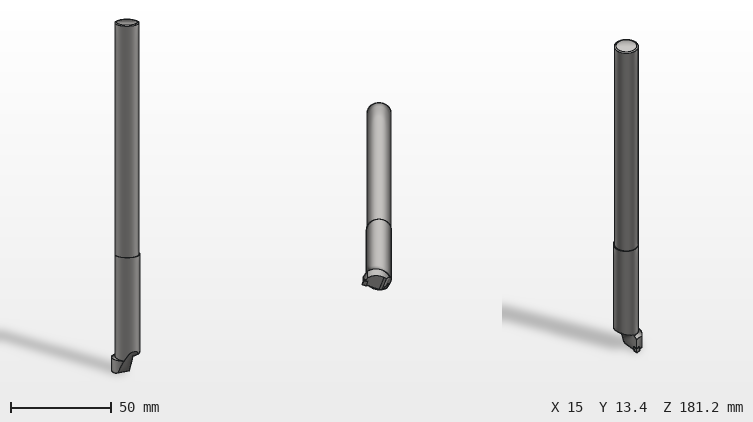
import cadquery as cq
import math

total_length = 181.2

shank_diameter = 12.0
shank_end_diameter = 10.3
shank_chamfer_height = 0.4

neck_diameter = 12.5
neck_top = 61.0
neck_offset_y = (neck_diameter - shank_diameter) / 2

head_radius = 7.6
head_center = (-1.3, 0.7)
head_bottom = 0.5
shoulder_bottom = 7.5
shoulder_top = 9.0
shoulder_top_radius = 5.3

flank_front = (-8.3, 0.4)
flank_back = (-7.5, -3.6)

pocket_floor_y = 0.4
pocket_roof_low = 9.5
pocket_roof_high = 11.2

relief_top = (6.2, 12.1)
relief_corner = (1.6, 1.0)
relief_bottom = (0.2, head_bottom)

insert_edge = 2.4
insert_angle = 80.0
insert_lead_angle = 3.0
insert_thickness = 2.4
insert_relief_angle = 7.0
insert_tip_x = -8.79
insert_face_y = 0.5

clear = 18.1


def make_shank():
    radius = shank_diameter / 2
    end_radius = shank_end_diameter / 2
    return (
        cq.Workplane("XY", origin=(0, 0, neck_top))
        .circle(radius)
        .extrude(total_length - neck_top)
        .faces(">Z")
        .chamfer(shank_chamfer_height, radius - end_radius)
    )


def make_neck():
    return (
        cq.Workplane("XY", origin=(0, neck_offset_y, head_bottom))
        .circle(neck_diameter / 2)
        .extrude(neck_top - head_bottom)
    )


def make_head_disc():
    profile = [
        (0, head_bottom),
        (head_radius, head_bottom),
        (head_radius, shoulder_bottom),
        (shoulder_top_radius, shoulder_top),
        (0, shoulder_top),
    ]
    disc = cq.Workplane("XZ").polyline(profile).close().revolve(360, (0, 0), (0, 1))
    return disc.translate((*head_center, 0))


def make_flank_cutter():
    """Removes what lies on the -X side of the flank line, up to the shoulder's top."""
    slope = (flank_back[0] - flank_front[0]) / (flank_back[1] - flank_front[1])
    outline = [(flank_front[0] + slope * (y - flank_front[1]), y) for y in (clear, -clear)]
    outline += [(-2 * clear, -clear), (-2 * clear, clear)]
    return cq.Workplane("XY").polyline(outline).close().extrude(shoulder_top)


def make_pocket_cutter():
    far_y = neck_offset_y + neck_diameter / 2
    outline = [
        (pocket_floor_y, -clear),
        (pocket_floor_y, pocket_roof_low),
        (far_y, pocket_roof_high),
        (clear, pocket_roof_high),
        (clear, -clear),
    ]
    return cq.Workplane("YZ").polyline(outline).close().extrude(clear, both=True)


def make_back_relief_cutter():
    outline = [
        relief_top,
        relief_corner,
        relief_bottom,
        (relief_bottom[0], -clear),
        (clear, -clear),
        (clear, relief_top[1]),
    ]
    return cq.Workplane("XZ").polyline(outline).close().extrude(clear, both=True)


def make_insert():
    """Rhombic prism tapering away from its rake face, with one corner as the cutting tip."""
    low = math.radians(insert_lead_angle)
    high = math.radians(insert_lead_angle + insert_angle)
    along = (insert_edge * math.cos(low), insert_edge * math.sin(low))
    up = (insert_edge * math.cos(high), insert_edge * math.sin(high))
    corners = [(0, 0), along, (along[0] + up[0], along[1] + up[1]), up]
    return (
        cq.Workplane("XZ", origin=(insert_tip_x, insert_face_y, 0))
        .polyline(corners)
        .close()
        .extrude(insert_thickness, taper=insert_relief_angle)
    )


insert = make_insert()

head = make_head_disc().cut(make_flank_cutter())
bar = make_shank().union(make_neck()).union(head)
bar = bar.cut(make_pocket_cutter()).cut(make_back_relief_cutter())
bar = bar.cut(insert)

result = cq.Compound.makeCompound([bar.val(), insert.val()])